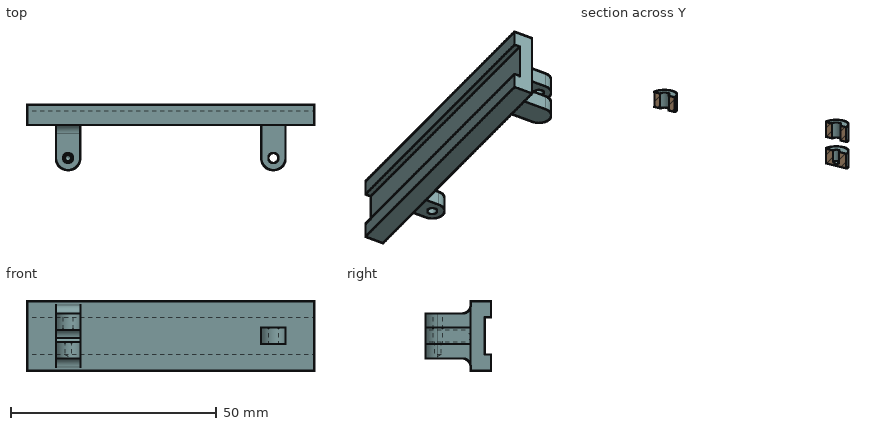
import cadquery as cq
import math

plate_length = 70.0
plate_thickness = 5.0
plate_height = 17.0
channel_height = 9.0
channel_depth = 1.5

lug_width = 6.0
lug_thickness = 4.0
lug_reach = 11.0
lug_end_radius = lug_width / 2
clevis_x = 10.0
single_lug_x = 60.0
clevis_gap = 3.0
clevis_height = 2 * lug_thickness + clevis_gap
root_fillet_radius = 2.0

clearance_diameter = 2.4
pilot_diameter = 1.57
pilot_depth = 3.0
drill_point_angle = 118.0

mid_z = plate_height / 2
pin_y = lug_end_radius - lug_reach
clevis_bottom_z = mid_z - clevis_height / 2
clevis_top_z = mid_z + clevis_height / 2
gap_top_z = clevis_top_z - lug_thickness
gap_bottom_z = clevis_bottom_z + lug_thickness
single_lug_z = mid_z - lug_thickness / 2


def make_plate():
    plate = cq.Workplane("XY").box(plate_length, plate_thickness, plate_height, centered=False)
    channel = (
        cq.Workplane("XY")
        .box(plate_length, channel_depth, channel_height, centered=False)
        .translate((0, plate_thickness - channel_depth, mid_z - channel_height / 2))
    )
    return plate.cut(channel)


def make_lug(center_x, bottom_z):
    """Flat lug standing on the plate face, with a full round end."""
    return (
        cq.Workplane("XY", origin=(center_x, 0, bottom_z))
        .moveTo(-lug_end_radius, 0)
        .lineTo(-lug_end_radius, pin_y)
        .threePointArc((0, -lug_reach), (lug_end_radius, pin_y))
        .lineTo(lug_end_radius, 0)
        .close()
        .extrude(lug_thickness)
    )


def make_root_fillet(face_z, direction, height=root_fillet_radius):
    """Concave fillet from a clevis lug face to the plate; direction is +1 above the face, -1 below.

    The arc is tangent to the lug face and reaches the plate at the given height above that face.
    """
    radius = root_fillet_radius
    sweep = math.acos(1 - height / radius)
    length = radius * math.sin(sweep)
    arc_mid_y = radius * math.sin(sweep / 2) - length
    arc_mid_z = radius * (1 - math.cos(sweep / 2))
    return (
        cq.Workplane("YZ", origin=(clevis_x - lug_width / 2, 0, face_z))
        .lineTo(-length, 0)
        .threePointArc((arc_mid_y, direction * arc_mid_z), (0, direction * height))
        .close()
        .extrude(lug_width)
    )


def make_clevis():
    """Two lugs with root fillets; the lower gap fillet ends where the fillet above it meets the plate."""
    lower_gap_fillet_height = clevis_gap - root_fillet_radius
    return (
        make_lug(clevis_x, clevis_bottom_z)
        .union(make_lug(clevis_x, gap_top_z))
        .union(make_root_fillet(clevis_top_z, 1))
        .union(make_root_fillet(gap_top_z, -1))
        .union(make_root_fillet(gap_bottom_z, 1, lower_gap_fillet_height))
        .union(make_root_fillet(clevis_bottom_z, -1))
    )


def make_clearance_hole(center_x, bottom_z):
    return (
        cq.Workplane("XY", origin=(center_x, pin_y, bottom_z))
        .circle(clearance_diameter / 2)
        .extrude(lug_thickness)
    )


def make_pilot_hole():
    """Blind drilled hole with a conical bottom, entering the top of the lower clevis lug."""
    radius = pilot_diameter / 2
    point_length = radius / math.tan(math.radians(drill_point_angle / 2))
    return (
        cq.Workplane("XZ", origin=(clevis_x, pin_y, gap_bottom_z))
        .lineTo(radius, 0)
        .lineTo(radius, -pilot_depth)
        .lineTo(0, -pilot_depth - point_length)
        .close()
        .revolve(360, (0, 0, 0), (0, 1, 0))
    )


result = (
    make_plate()
    .union(make_clevis())
    .union(make_lug(single_lug_x, single_lug_z))
    .cut(make_clearance_hole(clevis_x, gap_top_z))
    .cut(make_clearance_hole(single_lug_x, single_lug_z))
    .cut(make_pilot_hole())
)